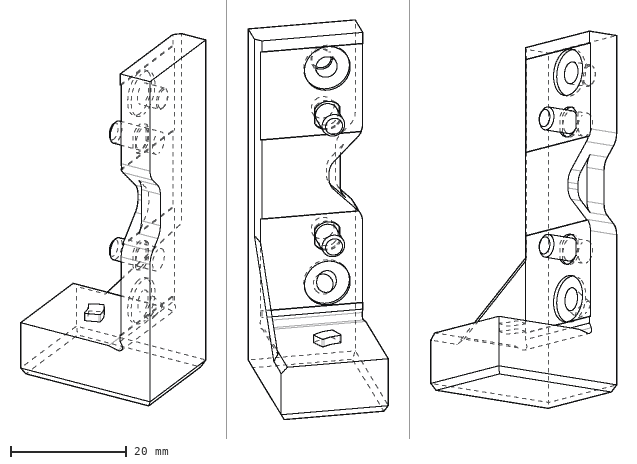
import cadquery as cq
import math

length_x = 26.0
width_y = 19.0
height_z = 63.0
foot_height = 10.0
wall_face_x = 20.0

relief_depth = 0.2
relieved_face_x = wall_face_x + relief_depth
relief_spans = ((12.6, 29.75), (44.5, 60.9))

undercut_radius = 0.75
undercut_center_x = 19.72
undercut_center_z = 10.28
undercut_floor_start_x = 17.7
undercut_wall_top_z = 11.4

rear_bevel = 1.1
bottom_bevel_height = 1.25
bottom_bevel_inset = 0.65

gusset_thickness = 0.9
gusset_foot_x = 6.8
gusset_angle = 48.85
gusset_root = 2.0

notch_center_z = 36.75
notch_half_mouth = 7.75
notch_flank_angle = 45.0
notch_corner_radius = 3.0
notch_face_depth = 6.0
notch_back_depth = 3.5
notch_back_x = 22.2

feature_y = 6.25
pin_heights = (25.5, 48.0)
pin_diameter = 4.0
pin_length = 9.0
pin_tip_x = 15.0
pin_chamfer = 0.5
pin_pocket_diameter = 5.25
pin_pocket_width = 4.4
pin_pocket_depth = 0.5

spot_diameter = 8.1
spot_depth = 0.7
spot_floor_x = relieved_face_x + spot_depth
upper_hole_z = 56.75
upper_hole_diameter = 3.8
upper_hole_depth = 4.0
upper_hole_end_chamfer = 0.2
lower_hole_z = 16.75
lower_hole_diameter = 3.5
lower_hole_tilt = 30.0
lower_hole_depth = 3.0

key_height = 1.4
key_inner_corners = ((7.75, 9.85), (8.95, 6.25))
key_outer_corners = ((10.2, 11.0), (11.7, 7.2))
key_arc_bulge = 0.35
key_corner_radius = 0.25


def undercut_point(angle):
    """Point of the undercut circle at an angle in radians from +X towards +Z."""
    return (
        undercut_center_x + undercut_radius * math.cos(angle),
        undercut_center_z + undercut_radius * math.sin(angle),
    )


def undercut_touch_angle(x, z, side):
    """Angle where a line from (x, z) touches the undercut circle; side is +1 or -1."""
    dx = x - undercut_center_x
    dz = z - undercut_center_z
    return math.atan2(dz, dx) + side * math.acos(undercut_radius / math.hypot(dx, dz))


def angled_body():
    """L profile with the corner undercut, extruded over the full width."""
    wall_touch = undercut_touch_angle(wall_face_x, undercut_wall_top_z, -1)
    floor_touch = undercut_touch_angle(undercut_floor_start_x, foot_height, 1)
    lowest_right = math.radians(-45)
    return (
        cq.Workplane("XZ")
        .moveTo(0, 0)
        .lineTo(length_x, 0)
        .lineTo(length_x, height_z)
        .lineTo(wall_face_x, height_z)
        .lineTo(wall_face_x, undercut_wall_top_z)
        .lineTo(*undercut_point(wall_touch))
        .threePointArc(undercut_point(lowest_right), undercut_point(floor_touch))
        .lineTo(undercut_floor_start_x, foot_height)
        .lineTo(0, foot_height)
        .close()
        .extrude(-width_y)
    )


def relief_cutter(bottom, top):
    return cq.Workplane("XY", origin=(wall_face_x, 0, bottom)).box(
        relief_depth, width_y, top - bottom, centered=False
    )


def bottom_bevel_envelope():
    """Block as large as the bracket whose lower edge tapers in on all four sides."""
    taper = (
        cq.Workplane("XY", origin=(length_x / 2, width_y / 2, 0))
        .rect(length_x - 2 * bottom_bevel_inset, width_y - 2 * bottom_bevel_inset)
        .workplane(offset=bottom_bevel_height)
        .rect(length_x, width_y)
        .loft()
    )
    return taper.faces(">Z").workplane().rect(length_x, width_y).extrude(height_z - bottom_bevel_height)


def rear_bevel_cutter():
    """Bevels the rear edges of the wall face and the foot top, mitred where they meet."""
    reach = 2 * rear_bevel
    wall_back_x = wall_face_x + rear_bevel
    foot_back_z = foot_height - rear_bevel
    before_wall = (
        cq.Workplane("XY")
        .moveTo(wall_back_x, width_y)
        .lineTo(wall_back_x - reach, width_y - reach)
        .lineTo(0, width_y - reach)
        .lineTo(0, width_y)
        .close()
        .extrude(height_z)
    )
    above_foot = (
        cq.Workplane("YZ")
        .moveTo(width_y, foot_back_z)
        .lineTo(width_y - reach, foot_back_z + reach)
        .lineTo(width_y - reach, height_z)
        .lineTo(width_y, height_z)
        .close()
        .extrude(length_x)
    )
    return before_wall.intersect(above_foot)


def gusset():
    """Triangular web, flush with the rear side."""
    slope = math.tan(math.radians(gusset_angle))
    root_x = wall_face_x + gusset_root
    root_z = foot_height - gusset_root
    return (
        cq.Workplane("XZ", origin=(0, width_y, 0))
        .moveTo(gusset_foot_x - gusset_root / slope, root_z)
        .lineTo(root_x, root_z)
        .lineTo(root_x, foot_height + (root_x - gusset_foot_x) * slope)
        .close()
        .extrude(gusset_thickness)
    )


def notch_cutter(depth, start_x, end_x):
    """Flat-bottomed notch with sloped flanks and all four corners rounded."""
    flank = math.radians(notch_flank_angle)
    setback = notch_corner_radius * math.tan(flank / 2)
    setback_y = setback * math.sin(flank)
    setback_z = setback * math.cos(flank)
    arc_y = notch_corner_radius * (1 - math.cos(flank / 2))
    arc_z = notch_corner_radius * math.sin(flank / 2)
    mouth = notch_half_mouth
    mouth_end = mouth + setback
    floor = mouth - depth / math.tan(flank)
    floor_end = floor - setback
    return (
        cq.Workplane("YZ", origin=(start_x, 0, notch_center_z))
        .moveTo(0, mouth_end)
        .threePointArc((arc_y, mouth_end - arc_z), (setback_y, mouth - setback_z))
        .lineTo(depth - setback_y, floor + setback_z)
        .threePointArc((depth - arc_y, floor_end + arc_z), (depth, floor_end))
        .lineTo(depth, -floor_end)
        .threePointArc((depth - arc_y, -floor_end - arc_z), (depth - setback_y, -floor - setback_z))
        .lineTo(setback_y, setback_z - mouth)
        .threePointArc((arc_y, arc_z - mouth_end), (0, -mouth_end))
        .close()
        .extrude(end_x - start_x)
    )


def x_cylinder(diameter, z, start_x, length):
    """Cylinder on the shared centre line, running towards +X."""
    return cq.Workplane("YZ", origin=(start_x, feature_y, z)).circle(diameter / 2).extrude(length)


def dowel_pin(z):
    return x_cylinder(pin_diameter, z, pin_tip_x, pin_length).faces("<X").chamfer(pin_chamfer)


def pin_seat_cutter(z):
    """Pin bore with a shallow round pocket, flattened on two sides, around its mouth."""
    pocket = x_cylinder(pin_pocket_diameter, z, relieved_face_x, pin_pocket_depth)
    flats = cq.Workplane("XY", origin=(relieved_face_x, feature_y, z)).box(
        2 * pin_pocket_depth, pin_pocket_width, pin_pocket_diameter
    )
    bore = x_cylinder(pin_diameter, z, pin_tip_x, pin_length)
    return pocket.intersect(flats).union(bore)


def upper_hole_cutter():
    """Blind hole with a small bevel around its flat end, in its spot face."""
    spot = x_cylinder(spot_diameter, upper_hole_z, relieved_face_x, spot_depth)
    hole = x_cylinder(upper_hole_diameter, upper_hole_z, spot_floor_x, upper_hole_depth)
    hole = hole.faces(">X").chamfer(upper_hole_end_chamfer)
    return spot.union(hole)


def lower_hole_cutter():
    """Flat-ended blind hole sloping down into the wall, in its spot face."""
    spot = x_cylinder(spot_diameter, lower_hole_z, relieved_face_x, spot_depth)
    tilt = math.radians(lower_hole_tilt)
    mouth_overlap = lower_hole_diameter / 2 * math.tan(tilt)
    mouth_plane = cq.Plane(
        origin=(spot_floor_x, feature_y, lower_hole_z),
        xDir=(0, 1, 0),
        normal=(math.cos(tilt), 0, -math.sin(tilt)),
    )
    hole = (
        cq.Workplane(mouth_plane)
        .workplane(offset=-mouth_overlap)
        .circle(lower_hole_diameter / 2)
        .extrude(mouth_overlap + lower_hole_depth)
    )
    return spot.union(hole)


def key():
    """Curved key with concave inner and convex outer sides, rounded at its corners."""
    inner_rear, inner_front = key_inner_corners
    outer_rear, outer_front = key_outer_corners
    return (
        cq.Workplane("XY", origin=(0, 0, foot_height))
        .moveTo(*inner_rear)
        .lineTo(*outer_rear)
        .sagittaArc(outer_front, key_arc_bulge)
        .lineTo(*inner_front)
        .sagittaArc(inner_rear, -key_arc_bulge)
        .close()
        .extrude(key_height)
        .edges("|Z")
        .fillet(key_corner_radius)
    )


bracket = angled_body().intersect(bottom_bevel_envelope())
for relief_bottom, relief_top in relief_spans:
    bracket = bracket.cut(relief_cutter(relief_bottom, relief_top))
bracket = bracket.cut(rear_bevel_cutter())
bracket = bracket.union(gusset())
bracket = bracket.cut(notch_cutter(notch_face_depth, wall_face_x, notch_back_x))
bracket = bracket.cut(notch_cutter(notch_back_depth, notch_back_x, length_x))
for pin_z in pin_heights:
    bracket = bracket.cut(pin_seat_cutter(pin_z))
bracket = bracket.cut(upper_hole_cutter())
bracket = bracket.cut(lower_hole_cutter())
bracket = bracket.union(key())

dowel_pins = [dowel_pin(pin_z) for pin_z in pin_heights]

result = cq.Compound.makeCompound([bracket.val(), *[pin.val() for pin in dowel_pins]])